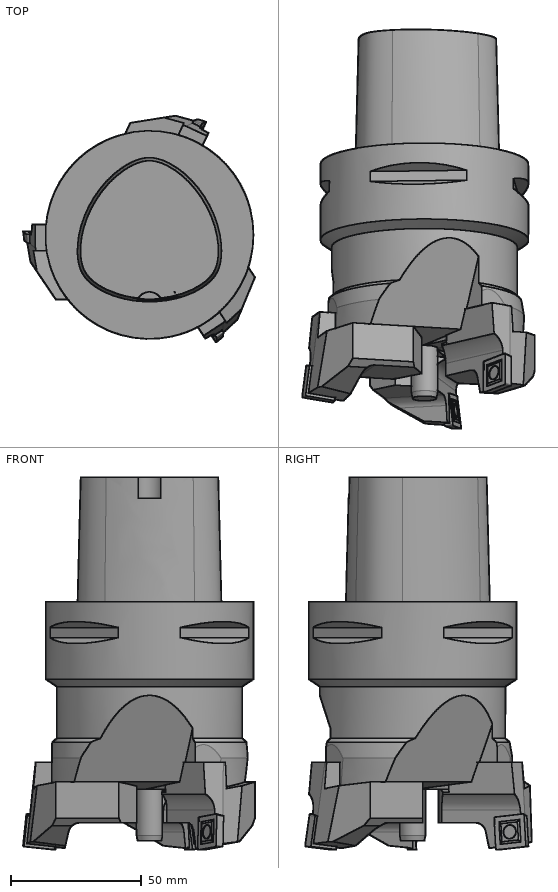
import cadquery as cq
import math


SLIDE_ANGLES = (0.0, 123.4, 245.0)
FAR = 171.9

SHANK_LENGTH = 47.8
SHANK_WIDTH = 55.4
SHANK_TAPER = 1 / 20
LOBE_HEIGHT = 2.0
LOBE_DIRECTIONS = (90, 210, 330)
POINTS_PER_SPLINE = 8
CORNER_HALF_ANGLE = 34.0
KEY_RADIUS = 10.0 / 2
KEY_DEPTH = 8.0
KEY_CENTRE = -26.9

FLANGE_RADIUS = 80.0 / 2
FLANGE_RIM_BOTTOM = -29.8
NECK_TOP = -32.7
NECK_RADIUS = 71.5 / 2
GROOVE_ANGLES = (45, 135, 225, 315)
GROOVE_Z = -11.9
GROOVE_DEPTH = 4.6
GROOVE_FLOOR_HEIGHT = 3.9
GROOVE_MOUTH_HEIGHT = 8.5

NECK_BOTTOM = -52.5
HEAD_RIM_Z = -54.0
HEAD_RIM_RADIUS = 37.4
HEAD_WIDEST_Z = -60.0
HEAD_WIDEST_RADIUS = 38.4
HEAD_BOTTOM = -72.2
HEAD_BOTTOM_RADIUS = 38.1
BODY_RAKE_Y = 3.6
FLUTE_SLOPE = 18.0
SEAT_SLOPE = 7.7
PATCH_X = -37.5
PIN_RADIUS = 10.0 / 2
PIN_BOTTOM = -92.0
PIN_CHAMFER = 0.5
PIN_CHAMFER_LENGTH = 2.1

RAKE_Y = 4.0
REAR_Y = -24.9
SEAT_EDGE_Z = -69.3
SLIDE_BOTTOM = -85.0
REAR_INNER_X = -11.7
END_TIP_X = -4.9
END_ANGLE = 60.0
POST_TOP = -61.7
POST_REAR_Y = -6.2
POST_INNER_X = -17.2
OUTER_TOP_X = -43.8
LEAD_ANGLE = 6.0
RELIEF_START_Y = -5.0
RELIEF_ANGLE = 9.0
RELIEF_LEAN = 5.2
CORNER_X = -36.0
CORNER_ANGLE = 34.0
RECESS_TOP = -74.0
RECESS_FLOOR_Y = 0.1
RECESS_RADIUS = 6.6
NOSE_INNER_X = -32.5
NOSE_WALL_LEAN = 13.0
NOSE_FILLET = 4.3
NOSE_BOTTOM = -94.8
NOSE_RELIEF = 6.0
REAR_BEVEL = ((REAR_Y, -83.2), (-22.8, -86.0), (-10.3, -93.2))

INSERT_SIDE = 12.7
INSERT_THICKNESS = 3.5
INSERT_CLEARANCE = 7.0
INSERT_RAKE = 5.5
INSERT_CENTRE = (-41.7, 0.9, -88.5)
INSERT_CORNER_RADIUS = 0.6
BOSS_SIDE = 8.7
BOSS_TOP_SIDE = 7.0
BOSS_HEIGHT = 0.3
DIMPLE_DIAMETER = 5.3
DIMPLE_DEPTH = 0.1


def half_space(point, normal):
    """Block that fills everything on the side of the plane that the normal points to."""
    return cq.Workplane(cq.Plane(origin=point, normal=normal)).rect(2 * FAR, 2 * FAR).extrude(FAR)


def turned(shape, angle):
    return shape.rotate((0, 0, 0), (0, 0, 1), angle)


def sin(angle):
    return math.sin(math.radians(angle))


def cos(angle):
    return math.cos(math.radians(angle))


def tan(angle):
    return math.tan(math.radians(angle))


def polygon_point(width, direction):
    """Point of the constant-width polygon whose outward normal has this direction."""
    phase = 3 * (direction - LOBE_DIRECTIONS[0])
    reach = width / 2 + LOBE_HEIGHT * cos(phase)
    sideways = -3 * LOBE_HEIGHT * sin(phase)
    return (
        reach * cos(direction) - sideways * sin(direction),
        reach * sin(direction) + sideways * cos(direction),
    )


def polygon_outline(plane, width):
    """Three corners and three flanks, each one spline."""
    starts = []
    for lobe in LOBE_DIRECTIONS:
        starts += [lobe - CORNER_HALF_ANGLE, lobe + CORNER_HALF_ANGLE]
    ends = starts[1:] + [starts[0] + 360]
    outline = plane.moveTo(*polygon_point(width, starts[0]))
    for start, end in zip(starts, ends):
        step = (end - start) / POINTS_PER_SPLINE
        points = [polygon_point(width, start + i * step) for i in range(1, POINTS_PER_SPLINE + 1)]
        outline = outline.spline(points, includeCurrent=True)
    return outline.close()


def make_shank():
    top_width = SHANK_WIDTH - SHANK_TAPER * SHANK_LENGTH
    base = polygon_outline(cq.Workplane("XY"), SHANK_WIDTH)
    shank = polygon_outline(base.workplane(offset=SHANK_LENGTH), top_width).loft(ruled=True)
    key = (
        cq.Workplane("XY", origin=(0, KEY_CENTRE, SHANK_LENGTH))
        .circle(KEY_RADIUS)
        .extrude(-KEY_DEPTH)
    )
    return shank.cut(key)


def make_flange():
    flange = (
        cq.Workplane("XZ")
        .polyline([
            (0, 0),
            (FLANGE_RADIUS, 0),
            (FLANGE_RADIUS, FLANGE_RIM_BOTTOM),
            (NECK_RADIUS, NECK_TOP),
            (0, NECK_TOP),
        ])
        .close()
        .revolve(360, (0, 0, 0), (0, 1, 0))
    )
    flare = (GROOVE_MOUTH_HEIGHT - GROOVE_FLOOR_HEIGHT) / 2 / GROOVE_DEPTH
    floor = FLANGE_RADIUS - GROOVE_DEPTH
    half_floor = GROOVE_FLOOR_HEIGHT / 2
    half_mouth = half_floor + flare * 2 * GROOVE_DEPTH
    mouth = floor + 2 * GROOVE_DEPTH
    groove = (
        cq.Workplane("XZ", origin=(0, FLANGE_RADIUS, GROOVE_Z))
        .polyline([(floor, -half_floor), (mouth, -half_mouth), (mouth, half_mouth), (floor, half_floor)])
        .close()
        .extrude(2 * FLANGE_RADIUS)
    )
    for angle in GROOVE_ANGLES:
        flange = flange.cut(turned(groove, angle))
    return flange


def seat_above():
    """Space above the sloping seat plane, which carries the head."""
    return half_space((0, REAR_Y, SEAT_EDGE_Z), (0, sin(SEAT_SLOPE), cos(SEAT_SLOPE)))


def seat_below():
    """Space below the seat plane, which is left to the slide."""
    return half_space((0, REAR_Y, SEAT_EDGE_Z), (0, -sin(SEAT_SLOPE), -cos(SEAT_SLOPE)))


def post_block():
    """Upper end of a slide, which also is the notch it fills in the head."""
    depth = RAKE_Y - POST_REAR_Y
    return cq.Workplane("XY").box(FAR, depth, FAR, centered=False).translate(
        (POST_INNER_X - FAR, POST_REAR_Y, POST_TOP - FAR)
    )


def make_head():
    head = (
        cq.Workplane("XZ")
        .polyline([
            (0, NECK_TOP),
            (NECK_RADIUS, NECK_TOP),
            (NECK_RADIUS, NECK_BOTTOM),
            (HEAD_RIM_RADIUS, HEAD_RIM_Z),
            (HEAD_WIDEST_RADIUS, HEAD_WIDEST_Z),
            (HEAD_BOTTOM_RADIUS, HEAD_BOTTOM),
            (0, HEAD_BOTTOM),
        ])
        .close()
        .revolve(360, (0, 0, 0), (0, 1, 0))
    )
    flute = half_space((0, REAR_Y, SEAT_EDGE_Z), (0, -cos(FLUTE_SLOPE), -sin(FLUTE_SLOPE)))
    patch = half_space((PATCH_X, 0, 0), (-1, 0, 0))
    behind_wall = half_space((0, BODY_RAKE_Y, 0), (0, -1, 0))
    before_wall = half_space((0, BODY_RAKE_Y, 0), (0, 1, 0))
    next_angles = SLIDE_ANGLES[1:] + SLIDE_ANGLES[:1]
    for angle, next_angle in zip(SLIDE_ANGLES, next_angles):
        sector = turned(behind_wall, angle).intersect(turned(before_wall, next_angle))
        head = head.cut(turned(flute, angle).intersect(sector))
        head = head.cut(turned(seat_below(), angle).intersect(sector))
        head = head.cut(turned(patch, angle))
    for angle in SLIDE_ANGLES:
        head = head.cut(turned(post_block(), angle))
    return head


def make_pin():
    return (
        cq.Workplane("XY", origin=(0, 0, PIN_BOTTOM))
        .circle(PIN_RADIUS)
        .extrude(NECK_TOP - PIN_BOTTOM)
        .faces("<Z")
        .chamfer(PIN_CHAMFER_LENGTH, PIN_CHAMFER)
    )


def make_body():
    return make_shank().union(make_flange()).union(make_head()).union(make_pin())


def make_insert_blank():
    outline = cq.Sketch().rect(INSERT_SIDE, INSERT_SIDE).vertices().fillet(INSERT_CORNER_RADIUS)
    return cq.Workplane("XY").placeSketch(outline).extrude(-INSERT_THICKNESS, taper=INSERT_CLEARANCE)


def placed_insert(insert):
    """Moves an insert from the origin, with its rake face up, to its slide."""
    return (
        insert.rotate((0, 0, 0), (0, 0, 1), LEAD_ANGLE)
        .rotate((0, 0, 0), (1, 0, 0), INSERT_RAKE - 90)
        .translate(INSERT_CENTRE)
    )


def make_insert():
    boss = (
        cq.Workplane("XY")
        .rect(BOSS_SIDE, BOSS_SIDE)
        .workplane(offset=BOSS_HEIGHT)
        .rect(BOSS_TOP_SIDE, BOSS_TOP_SIDE)
        .loft(ruled=True)
    )
    dimple = (
        cq.Workplane("XY", origin=(0, 0, BOSS_HEIGHT))
        .circle(DIMPLE_DIAMETER / 2)
        .extrude(-DIMPLE_DEPTH)
    )
    return placed_insert(make_insert_blank().union(boss).cut(dimple))


def make_slide_blank():
    """Upright bar with a pointed inner end, its top cut to the seat plane beside the post."""
    end_tip_y = REAR_Y + (END_TIP_X - REAR_INNER_X) * tan(END_ANGLE)
    rake_inner_x = END_TIP_X - (RAKE_Y - end_tip_y) / tan(END_ANGLE)
    bar = (
        cq.Workplane("XY", origin=(0, 0, POST_TOP))
        .polyline([
            (-FAR / 2, REAR_Y),
            (REAR_INNER_X, REAR_Y),
            (END_TIP_X, end_tip_y),
            (rake_inner_x, RAKE_Y),
            (-FAR / 2, RAKE_Y),
        ])
        .close()
        .extrude(-FAR)
    )
    return bar.cut(seat_above().cut(post_block()))


def cut_outer_faces(slide):
    """Leaning front land, relieved flank behind it and upright rear corner."""
    land = half_space((OUTER_TOP_X, 0, POST_TOP), (-cos(LEAD_ANGLE), 0, sin(LEAD_ANGLE)))
    flank = half_space((0, 0, 0), (-cos(RELIEF_LEAN), 0, sin(RELIEF_LEAN)))
    flank = turned(flank, RELIEF_ANGLE).translate((OUTER_TOP_X, RELIEF_START_Y, POST_TOP))
    corner = half_space((CORNER_X, REAR_Y, 0), (-cos(CORNER_ANGLE), -sin(CORNER_ANGLE), 0))
    return slide.cut(land).cut(flank).cut(corner)


def cut_recess(slide):
    """Step in the rake wall, with a hollow upper end, down to the level of the insert."""
    centre_y = RECESS_FLOOR_Y + RECESS_RADIUS
    arc_drop = math.sqrt(RECESS_RADIUS**2 - (centre_y - RAKE_Y) ** 2)
    centre_z = RECESS_TOP - arc_drop
    half_sweep = math.degrees(math.asin(arc_drop / RECESS_RADIUS)) / 2
    arc_middle = (centre_y - RECESS_RADIUS * cos(half_sweep), centre_z + RECESS_RADIUS * sin(half_sweep))
    recess = (
        cq.Workplane("YZ")
        .moveTo(RAKE_Y, RECESS_TOP)
        .threePointArc(arc_middle, (RECESS_FLOOR_Y, centre_z))
        .lineTo(RECESS_FLOOR_Y, -FAR)
        .lineTo(RAKE_Y, -FAR)
        .close()
        .extrude(-FAR)
    )
    return slide.cut(recess)


def cut_underside(slide):
    """Flat arm with a rounded leaning wall down to the nose, and two bevels at the rear."""
    wall_top_x = NOSE_INNER_X + (SLIDE_BOTTOM - NOSE_BOTTOM) * tan(NOSE_WALL_LEAN)
    wall_bottom_x = wall_top_x - (SLIDE_BOTTOM + FAR) * tan(NOSE_WALL_LEAN)
    scoop = (
        cq.Workplane("XZ", origin=(0, FAR / 2, 0))
        .polyline([(wall_top_x, SLIDE_BOTTOM), (0, SLIDE_BOTTOM), (0, -FAR), (wall_bottom_x, -FAR)])
        .close()
        .extrude(FAR)
        .edges("|Y")
        .edges(">Z")
        .edges("<X")
        .fillet(NOSE_FILLET)
    )
    nose_normal = (-tan(LEAD_ANGLE), -tan(NOSE_RELIEF), -1)
    slide = slide.cut(scoop).cut(half_space((NOSE_INNER_X, 0, NOSE_BOTTOM), nose_normal))
    for (y1, z1), (y2, z2) in zip(REAR_BEVEL, REAR_BEVEL[1:]):
        slide = slide.cut(half_space((0, y1, z1), (0, z2 - z1, y1 - y2)))
    return slide


def make_slide():
    slide = cut_underside(cut_recess(cut_outer_faces(make_slide_blank())))
    return slide.cut(placed_insert(make_insert_blank()))


body = make_body()
slides = [turned(make_slide(), angle) for angle in SLIDE_ANGLES]
inserts = [turned(make_insert(), angle) for angle in SLIDE_ANGLES]

result = cq.Compound.makeCompound(
    [body.val(), *[slide.val() for slide in slides], *[insert.val() for insert in inserts]]
)